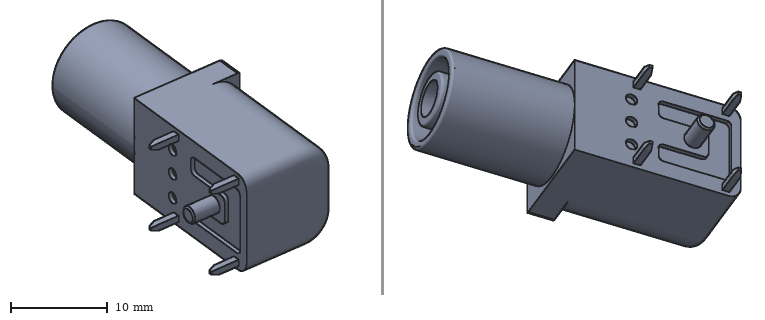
import cadquery as cq
import math


total_length = 33.0
width = 12.0
height = 11.5
barrel_length = 14.0
flange_thickness = 3.0
flange_edge_chamfer_height = 0.3
flange_edge_chamfer_width = 0.1
roof_fillet = 3.5
end_fillet = 1.5

barrel_radius = 5.5
barrel_bore_radius = 4.5
barrel_flat_width = 0.15
sleeve_radius = 3.0
sleeve_bore_radius = 2.0
rim_fillet = 0.3
cavity_depth = barrel_length
axis_height = math.sqrt(barrel_radius**2 - (barrel_flat_width / 2) ** 2)

tail_length = 3.4
pin_pitch = 10.16
front_pin_x = 21.12
pin_size = 0.8
pin_tip_size = 0.35
pin_tip_length = 0.8
post_x = 27.5
post_radius = 1.0
post_chamfer = 0.2
hole_x = 20.5
hole_pitch = 3.0
hole_radius = 0.65
recess_depth = 0.5
pocket_start_x = 23.6
pocket_end_x = 31.9
pocket_width = 8.0
tongue_end_x = 29.3
tongue_width = 3.5
pocket_corner_radius = 0.6


def axial_cylinder(radius, length):
    """Cylinder on the barrel axis, starting at the mating face and running along +X."""
    return cq.Workplane("YZ").center(axis_height, 0).circle(radius).extrude(length)


def board_face_plane(y=0):
    """Sketch plane parallel to the board-side face, with its normal pointing to -Y."""
    return cq.Workplane("XZ", origin=(0, y, 0))


def make_flange():
    half = width / 2
    shoulder = height - flange_edge_chamfer_height
    return (
        cq.Workplane("YZ", origin=(barrel_length, 0, 0))
        .moveTo(0, -half)
        .lineTo(shoulder, -half)
        .lineTo(height, -half + flange_edge_chamfer_width)
        .lineTo(height, half - flange_edge_chamfer_width)
        .lineTo(shoulder, half)
        .lineTo(0, half)
        .close()
        .extrude(flange_thickness)
    )


def make_rear_block():
    """Box with wide rounds along both roof edges and a smaller round about its far end."""
    return (
        cq.Workplane("XY", origin=(barrel_length, 0, 0))
        .box(total_length - barrel_length, height, width, centered=(False, False, True))
        .edges("|X and >Y")
        .fillet(roof_fillet)
        .faces(">X")
        .edges("not <Y")
        .fillet(end_fillet)
    )


def make_barrel():
    """Tube whose lowest strip is trimmed flat, level with the board-side face."""
    tube = axial_cylinder(barrel_radius, barrel_length).cut(axial_cylinder(barrel_bore_radius, cavity_depth))
    tube = tube.faces("<X").edges().fillet(rim_fillet)
    trim = cq.Workplane("XY").box(barrel_length, height, width, centered=(False, False, True))
    return tube.intersect(trim)


def make_pocket():
    """U-shaped recess that surrounds the locating post on three sides."""
    outer = (
        board_face_plane()
        .center((pocket_start_x + pocket_end_x) / 2, 0)
        .rect(pocket_end_x - pocket_start_x, pocket_width)
        .extrude(-recess_depth)
    )
    tongue = (
        board_face_plane()
        .center((pocket_start_x + tongue_end_x) / 2, 0)
        .rect(tongue_end_x - pocket_start_x, tongue_width)
        .extrude(-recess_depth)
    )
    return outer.cut(tongue).edges("|Y").fillet(pocket_corner_radius)


def make_housing():
    holes = (
        board_face_plane()
        .pushPoints([(hole_x, i * hole_pitch) for i in (-1, 0, 1)])
        .circle(hole_radius)
        .extrude(-recess_depth)
    )
    post = (
        board_face_plane()
        .center(post_x, 0)
        .circle(post_radius)
        .extrude(tail_length)
        .faces("<Y")
        .chamfer(post_chamfer)
    )
    block = make_flange().union(make_rear_block())
    return block.union(make_barrel()).cut(make_pocket()).cut(holes).union(post)


def make_sleeve():
    """Centre tube standing on the floor of the barrel, flush with the mating face."""
    tube = axial_cylinder(sleeve_radius, cavity_depth).faces("<X").edges().fillet(rim_fillet)
    return tube.cut(axial_cylinder(sleeve_bore_radius, cavity_depth))


def make_pin(x, z):
    """Square solder pin with a pyramidal tip, standing on the board-side face."""
    shank_length = tail_length - pin_tip_length
    shank = board_face_plane().center(x, z).rect(pin_size, pin_size).extrude(shank_length)
    tip = (
        board_face_plane(-shank_length)
        .center(x, z)
        .rect(pin_size, pin_size)
        .workplane(offset=pin_tip_length)
        .rect(pin_tip_size, pin_tip_size)
        .loft()
    )
    return shank.union(tip)


housing = make_housing()
sleeve = make_sleeve()
pins = [
    make_pin(x, z)
    for x in (front_pin_x, front_pin_x + pin_pitch)
    for z in (-pin_pitch / 2, pin_pitch / 2)
]

result = cq.Compound.makeCompound([housing.val(), sleeve.val(), *[pin.val() for pin in pins]])